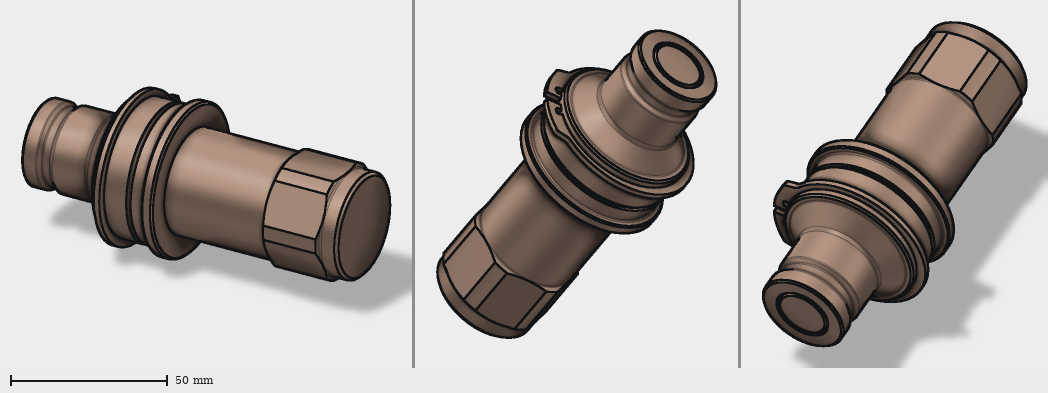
import cadquery as cq
import math

total_length = 117.4

nose_radius = 14.7
nose_chamfer = 0.6
nose_groove_start = 5.4
nose_groove_end = 11.1
nose_groove_depth = 1.4
nose_groove_blend = 0.6

insert_radius = 8.8
insert_chamfer = 0.7
insert_gap_depth = 0.7
bore_radius = 9.0
bore_chamfer = 0.4

cone_start = 23.9
cone_start_blend = 2.0
cone_end_blend = 0.6

body_start = 30.4
body_radius = 23.5
body_chamfer = 0.7
seal_groove_start = 43.3
seal_groove_end = 45.0
seal_groove_depth = 1.2
seal_groove_radius = body_radius - seal_groove_depth
seal_groove_blend = 0.4

flange_start = 50.1
flange_end = 54.1
flange_radius = 25.9
flange_front_chamfer = 0.5
flange_back_chamfer = 0.7
flange_blend = 0.6

tube_diameter = 35.8
tube_radius = tube_diameter / 2
tube_end_chamfer = 1.0
hex_start = 90.2
hex_end = 111.1
hex_sides = 6
hex_across_flats = 35.9
hex_corner_diameter = 38.8
hex_corner_radius = hex_corner_diameter / 2
hex_chamfer_angle = 30.0
hex_front_blend = 0.5
hex_back_blend = 0.8

ring_start = 33.2
ring_thickness = 2.0
ring_diameter = 52.0
ring_radius = ring_diameter / 2
ring_offset = -0.6
lug_radius = 28.6
lug_root_y = 11.7
lug_root_half_width = 17.7
lug_side_angle = 14.0
lug_corner_blend = 1.4
lug_root_blend = 2.3
ring_gap = 3.0
lug_hole_y = 23.9
lug_hole_spacing = 9.9
lug_hole_diameter = 2.7

tolerance = 0.01
clearance = 1.2


def revolve_outline(points):
    """Turn an (x, radius) outline, closed along the axis, about the X axis."""
    return cq.Workplane("XY").polyline(points).close().revolve(360, (0, 0, 0), (1, 0, 0))


def blend_circle(solid, x, radius, blend):
    """Round the circular edge of the given radius that lies at the given x."""
    def is_wanted(edge):
        return abs(edge.Center().x - x) < tolerance and abs(edge.radius() - radius) < tolerance

    return solid.edges("%CIRCLE").filter(is_wanted).fillet(blend)


def make_turned_body():
    groove_radius = nose_radius - nose_groove_depth
    groove_floor_start = nose_groove_start + nose_groove_depth
    groove_floor_end = nose_groove_end - nose_groove_depth
    cone_end_radius = nose_radius + body_start - cone_start
    hex_chamfer_length = (hex_corner_radius - tube_radius) * math.tan(math.radians(hex_chamfer_angle))

    body = revolve_outline([
        (0, 0),
        (0, nose_radius - nose_chamfer),
        (nose_chamfer, nose_radius),
        (nose_groove_start, nose_radius),
        (groove_floor_start, groove_radius),
        (groove_floor_end, groove_radius),
        (nose_groove_end, nose_radius),
        (cone_start, nose_radius),
        (body_start, cone_end_radius),
        (body_start, body_radius - body_chamfer),
        (body_start + body_chamfer, body_radius),
        (seal_groove_start, body_radius),
        (seal_groove_start, seal_groove_radius),
        (seal_groove_end, seal_groove_radius),
        (seal_groove_end, body_radius),
        (flange_start, body_radius),
        (flange_start, flange_radius - flange_front_chamfer),
        (flange_start + flange_front_chamfer, flange_radius),
        (flange_end - flange_back_chamfer, flange_radius),
        (flange_end, flange_radius - flange_back_chamfer),
        (flange_end, tube_radius),
        (hex_start, tube_radius),
        (hex_start + hex_chamfer_length, hex_corner_radius),
        (hex_end - hex_chamfer_length, hex_corner_radius),
        (hex_end, tube_radius),
        (total_length - tube_end_chamfer, tube_radius),
        (total_length, tube_radius - tube_end_chamfer),
        (total_length, 0),
    ])

    blends = [
        (nose_groove_start, nose_radius, nose_groove_blend),
        (groove_floor_start, groove_radius, nose_groove_blend),
        (groove_floor_end, groove_radius, nose_groove_blend),
        (nose_groove_end, nose_radius, nose_groove_blend),
        (cone_start, nose_radius, cone_start_blend),
        (body_start, cone_end_radius, cone_end_blend),
        (seal_groove_start, seal_groove_radius, seal_groove_blend),
        (flange_start, body_radius, flange_blend),
        (hex_start, tube_radius, hex_front_blend),
        (hex_end, tube_radius, hex_back_blend),
    ]
    for x, radius, blend in blends:
        body = blend_circle(body, x, radius, blend)
    return body


def make_insert_gap():
    return revolve_outline([
        (0, insert_radius - insert_chamfer),
        (insert_chamfer, insert_radius),
        (insert_gap_depth, bore_radius),
        (bore_chamfer, bore_radius),
        (0, bore_radius + bore_chamfer),
    ])


def cut_hex_flats(solid):
    """Mill six flats, two of which face +Z and -Z."""
    length = hex_end - hex_start
    slab_height = hex_corner_radius
    slab = cq.Workplane("XY").box(length, 2 * hex_corner_radius, slab_height).translate(
        (hex_start + length / 2, 0, hex_across_flats / 2 + slab_height / 2)
    )
    for index in range(hex_sides):
        solid = solid.cut(slab.rotate((0, 0, 0), (1, 0, 0), index * 360 / hex_sides))
    return solid


def make_retaining_ring():
    plane = cq.Workplane("YZ", origin=(ring_start, 0, 0))

    lug_end_y = lug_radius + clearance
    lug_narrowing = (lug_end_y - lug_root_y) * math.tan(math.radians(lug_side_angle))
    lug_end_half_width = lug_root_half_width - lug_narrowing
    lug_wedge = plane.polyline([
        (lug_root_y, -lug_root_half_width),
        (lug_end_y, -lug_end_half_width),
        (lug_end_y, lug_end_half_width),
        (lug_root_y, lug_root_half_width),
    ]).close().extrude(ring_thickness)
    lugs = plane.circle(lug_radius).extrude(ring_thickness).intersect(lug_wedge)
    lugs = lugs.edges("|X").edges(cq.selectors.BoxSelector(
        (ring_start - clearance, lug_root_y + clearance, -lug_radius),
        (ring_start + ring_thickness + clearance, lug_end_y, lug_radius),
    )).fillet(lug_corner_blend)

    ring = plane.center(ring_offset, 0).circle(ring_radius).extrude(ring_thickness).union(lugs)

    def is_lug_root(edge):
        center = edge.Center()
        from_ring_center = math.hypot(center.y - ring_offset, center.z)
        return center.y > 0 and abs(from_ring_center - ring_radius) < tolerance

    ring = ring.edges("|X").filter(is_lug_root).fillet(lug_root_blend)

    gap = plane.center(lug_radius, 0).rect(lug_radius, ring_gap).extrude(ring_thickness)
    holes = (
        plane.pushPoints([(lug_hole_y, side * lug_hole_spacing / 2) for side in (-1, 1)])
        .circle(lug_hole_diameter / 2)
        .extrude(ring_thickness)
    )
    return ring.cut(gap).cut(holes)


turned_body = make_turned_body().cut(make_insert_gap())
result = cut_hex_flats(turned_body).union(make_retaining_ring())